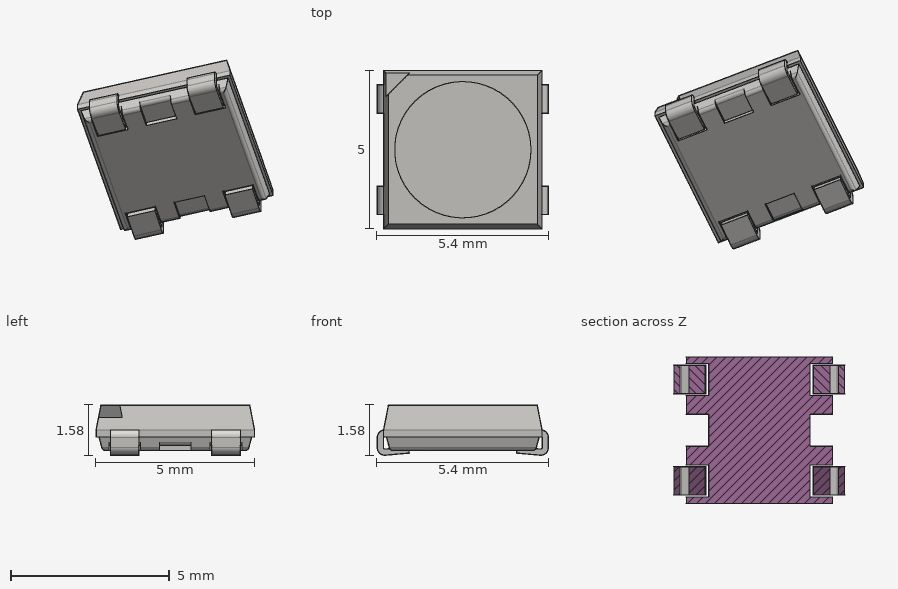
import math

import cadquery as cq


side = 5.0
flange_bottom = 0.57
flange_top = 0.805
top = 1.58
upper_draft = 11.0
lower_side = 4.815
lower_draft = 15.0
floor = 0.145
floor_edge_radius = 0.135

mark_leg = 0.9
mark_floor = 1.195

lens_diameter = 4.3

span = 5.4
lead_thickness = (span - side) / 2
lead_width = 0.9
lead_offset = 1.6
inner_bend_radius = 0.045
outer_bend_radius = inner_bend_radius + lead_thickness
foot_tilt = 5.0
foot_length = 0.75

pocket_width = 1.0
pocket_ceiling = 0.3
pocket_inner_x = 1.6


def make_lower_part(bottom):
    """Tapered block below the flange with a rounded lower edge at the given height."""
    return (
        cq.Workplane("XY", origin=(0, 0, flange_bottom))
        .rect(lower_side, lower_side)
        .extrude(bottom - flange_bottom, taper=lower_draft)
        .faces("<Z")
        .edges()
        .fillet(floor_edge_radius)
    )


def make_pockets():
    """Three open-sided pocket blocks along each of the -X and +X sides."""
    length = side / 2 - pocket_inner_x
    centre_x = pocket_inner_x + length / 2
    centres = [(sx * centre_x, sy * lead_offset) for sx in (-1, 1) for sy in (-1, 0, 1)]
    return (
        cq.Workplane("XY")
        .pushPoints(centres)
        .rect(length, pocket_width)
        .extrude(flange_bottom)
    )


def make_corner_mark():
    """Triangular prism that removes the -X +Y corner of the top."""
    outer = side / 2
    return (
        cq.Workplane("XY", origin=(0, 0, mark_floor))
        .polyline([(-outer, outer), (-outer + mark_leg, outer), (-outer, outer - mark_leg)])
        .close()
        .extrude(top - mark_floor)
    )


def make_lens():
    """Disc flush with the top of the housing, resting on the leads."""
    return (
        cq.Workplane("XY", origin=(0, 0, flange_top))
        .circle(lens_diameter / 2)
        .extrude(top - flange_top)
    )


def make_lead(y):
    """Lead strip centred on y, bent down and then inward at both ends."""
    bend_x = span / 2 - outer_bend_radius
    upper_z = flange_top - outer_bend_radius
    lower_z = outer_bend_radius
    tilt = math.radians(foot_tilt)
    end_angle = -90 - foot_tilt

    def on_bend(centre_z, radius, degrees):
        angle = math.radians(degrees)
        return (bend_x + radius * math.cos(angle), centre_z + radius * math.sin(angle))

    def foot_tip(radius):
        x, z = on_bend(lower_z, radius, end_angle)
        return (x - foot_length * math.cos(tilt), z + foot_length * math.sin(tilt))

    outer = outer_bend_radius
    inner = inner_bend_radius
    half_profile = (
        cq.Workplane("XZ", origin=(0, y, 0))
        .moveTo(0, flange_top)
        .lineTo(bend_x, flange_top)
        .threePointArc(on_bend(upper_z, outer, 45), on_bend(upper_z, outer, 0))
        .lineTo(*on_bend(lower_z, outer, 0))
        .threePointArc(on_bend(lower_z, outer, end_angle / 2), on_bend(lower_z, outer, end_angle))
        .lineTo(*foot_tip(outer))
        .lineTo(*foot_tip(inner))
        .lineTo(*on_bend(lower_z, inner, end_angle))
        .threePointArc(on_bend(lower_z, inner, end_angle / 2), on_bend(lower_z, inner, 0))
        .lineTo(*on_bend(upper_z, inner, 0))
        .threePointArc(on_bend(upper_z, inner, 45), on_bend(upper_z, inner, 90))
        .lineTo(0, flange_top - lead_thickness)
    )
    return half_profile.mirrorY().extrude(lead_width / 2, both=True)


def make_housing(lens, leads):
    """Housing with its corner mark and underside pockets, hollowed for the lens and leads."""
    flange = (
        cq.Workplane("XY", origin=(0, 0, flange_bottom))
        .rect(side, side)
        .extrude(flange_top - flange_bottom)
    )
    upper_part = (
        cq.Workplane("XY", origin=(0, 0, flange_top))
        .rect(side, side)
        .extrude(top - flange_top, taper=upper_draft)
        .cut(make_corner_mark())
    )
    lower_part = make_lower_part(floor).cut(make_pockets()).union(make_lower_part(pocket_ceiling))
    housing = flange.union(upper_part).union(lower_part).cut(lens)
    for lead in leads:
        housing = housing.cut(lead)
    return housing


lens = make_lens()
leads = [make_lead(y) for y in (-lead_offset, lead_offset)]
housing = make_housing(lens, leads)

result = cq.Compound.makeCompound([housing.val(), lens.val(), *[lead.val() for lead in leads]])